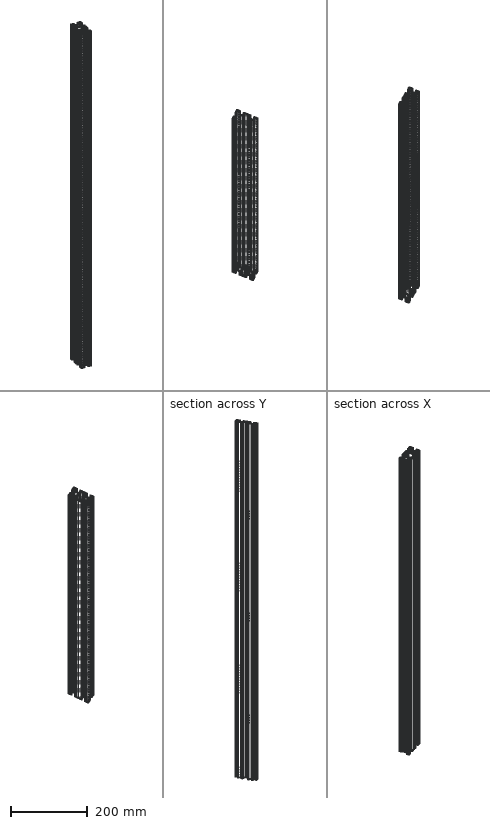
import cadquery as cq

module = 30.0
length = 1000.0
corner_radius = 2.0

slot_opening = 10.0
lip_thickness = 2.5
pocket_width = 16.0
slot_depth = 8.5
floor_width = 10.0

groove_width = 1.0
groove_depth = 0.5

bore_diameter = 10.0
chamber_width = 15.0
chamber_height = 23.0
chamber_chamfer = 5.0
corner_bore_diameter = 4.0
corner_bore_inset = 4.0

width = 2 * module
half_width = width / 2
half_module = module / 2


def prism(points):
    """Full-length prism over a closed outline."""
    return cq.Workplane("XY").polyline(points).close().extrude(length)


def place(cutter, x, y, turn):
    """Turns a cutter about Z and moves it to (x, y)."""
    return cutter.rotate((0, 0, 0), (0, 0, 1), turn).translate((x, y, 0))


def v_groove(depth):
    """V groove running inward along +Y from a flat at the given depth."""
    return prism([(-groove_width / 2, depth), (groove_width / 2, depth), (0, depth + groove_depth)])


def t_slot():
    """T-slot with its mouth at the origin, running inward along +Y, with a groove in its floor."""
    taper = (pocket_width - floor_width) / 2
    right_half = [
        (slot_opening / 2, 0),
        (slot_opening / 2, lip_thickness),
        (pocket_width / 2, lip_thickness),
        (pocket_width / 2, slot_depth - taper),
        (floor_width / 2, slot_depth),
    ]
    left_half = [(-x, y) for x, y in reversed(right_half)]
    return prism(right_half + left_half).union(v_groove(slot_depth))


body = cq.Workplane("XY").rect(width, module).extrude(length).edges("|Z").fillet(corner_radius)

slot_places = [(-half_width, 0, -90), (half_width, 0, 90)]
for slot_x in (-half_module, half_module):
    slot_places.append((slot_x, -half_module, 0))
    slot_places.append((slot_x, half_module, 180))

slot = t_slot()
for x, y, turn in slot_places:
    body = body.cut(place(slot, x, y, turn))

face_groove = v_groove(0)
body = body.cut(place(face_groove, 0, -half_module, 0))
body = body.cut(place(face_groove, 0, half_module, 180))

bore_places = cq.Workplane("XY").pushPoints([(-half_module, 0), (half_module, 0)])
body = body.cut(bore_places.circle(bore_diameter / 2).extrude(length))

chamber = cq.Workplane("XY").rect(chamber_width, chamber_height).extrude(length)
body = body.cut(chamber.edges("|Z").chamfer(chamber_chamfer))

corner_bore_places = (
    cq.Workplane("XY")
    .rect(width - 2 * corner_bore_inset, module - 2 * corner_bore_inset, forConstruction=True)
    .vertices()
)
body = body.cut(corner_bore_places.circle(corner_bore_diameter / 2).extrude(length))

result = body